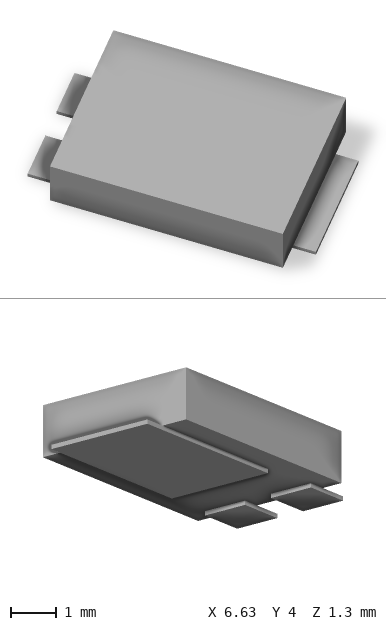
import cadquery as cq

overall_length = 6.63
overall_height = 1.3
pad_thickness = 0.1

body_width = 4.0
body_length = 5.4
body_height = overall_height - pad_thickness
small_pad_overhang = 0.71

small_pad_side = 1.12
small_pad_pitch = 1.835
large_pad_length = 4.185
large_pad_width = 2.68

left_end = -overall_length / 2
right_end = overall_length / 2
body_center_x = left_end + small_pad_overhang + body_length / 2


def make_block(length, width, height, center_x, center_y, bottom_z):
    """Plain block centred in X and Y, standing on bottom_z."""
    block = cq.Workplane("XY").box(length, width, height, centered=(True, True, False))
    return block.translate((center_x, center_y, bottom_z))


def make_package():
    """Housing block resting on top of the pads."""
    return make_block(body_length, body_width, body_height, body_center_x, 0, pad_thickness)


def make_small_pad(center_y):
    """Square contact pad at the -X end."""
    center_x = left_end + small_pad_side / 2
    return make_block(small_pad_side, small_pad_side, pad_thickness, center_x, center_y, 0)


def make_large_pad():
    """Wide contact pad at the +X end."""
    center_x = right_end - large_pad_length / 2
    return make_block(large_pad_length, large_pad_width, pad_thickness, center_x, 0, 0)


package = make_package()
large_pad = make_large_pad()
small_pads = [make_small_pad(side * small_pad_pitch / 2) for side in (-1, 1)]

result = cq.Compound.makeCompound(
    [package.val(), large_pad.val(), *[pad.val() for pad in small_pads]]
)